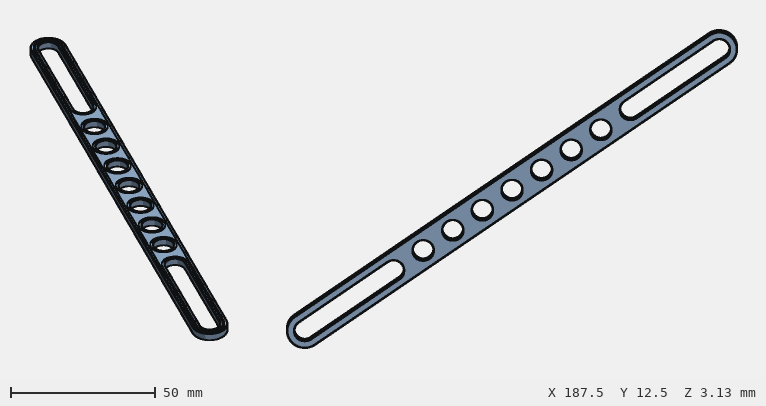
import cadquery as cq

pitch = 12.5
bar_places = 15
slot_places = 4
hole_count = 7
thickness = pitch / 4
hole_diameter = 7.0
edge_chamfer = 0.3
rim_land = 0.8
recess_depth = 0.2

bar_width = pitch
bar_length = bar_places * pitch
rim_width = edge_chamfer + rim_land
ring_diameter = hole_diameter + 2 * rim_width
slot_travel = (slot_places - 1) * pitch
slot_center = (bar_places - slot_places) / 2 * pitch
first_hole = -(hole_count - 1) / 2 * pitch
recess_floor = thickness - recess_depth

hole_positions = [(first_hole + i * pitch, 0) for i in range(hole_count)]
slot_positions = [(-slot_center, 0), (slot_center, 0)]


def bar(inset, bottom, height):
    """Round-ended block, inset evenly from the outline of the bar."""
    plane = cq.Workplane("XY").workplane(offset=bottom)
    return plane.slot2D(bar_length - 2 * inset, bar_width - 2 * inset).extrude(height)


def openings(diameter, bottom, height):
    """Solid prisms over the row of holes and both end slots, all of one diameter."""
    plane = cq.Workplane("XY").workplane(offset=bottom)
    holes = plane.pushPoints(hole_positions).circle(diameter / 2).extrude(height)
    slots = plane.pushPoints(slot_positions).slot2D(slot_travel + diameter, diameter).extrude(height)
    return holes.union(slots)


def chamfered_plate():
    """Bar with its holes and slots, every top and bottom edge chamfered."""
    plate = bar(0, 0, thickness).cut(openings(hole_diameter, 0, thickness))
    return plate.faces("|Z").edges().chamfer(edge_chamfer)


def top_recess():
    """Shallow recess in the top face that leaves an outer rim and a raised ring around each opening."""
    rings = openings(ring_diameter, recess_floor, recess_depth)
    return bar(rim_width, recess_floor, recess_depth).cut(rings)


result = chamfered_plate().cut(top_recess())